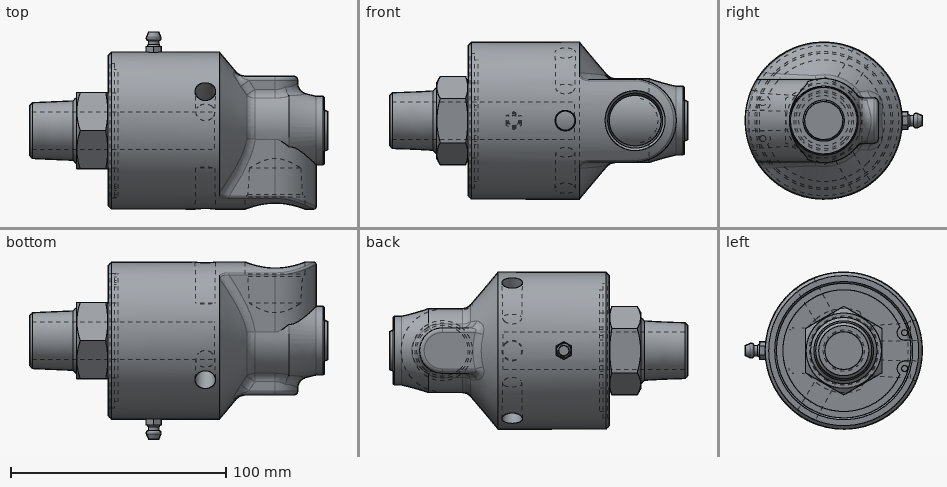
import cadquery as cq
import math

TOTAL_LENGTH = 138.6
OVERSHOOT = 1.4

BORE_DIA = 17.5
BORE_END_X = 86.0
NOSE_END_RADIUS = 13.0
NOSE_ROOT_RADIUS = 13.9
NOSE_CHAMFER = 1.4
NOSE_ROOT_X = 20.2

HEX_X = 21.8
HEX_FLATS = 35.6
HEX_CORNER_RADIUS = HEX_FLATS / math.sqrt(3)
HEX_FACE_RADIUS = 15.4
HEX_CHAMFER_RADIUS = 17.5
HEX_FRONT_CHAMFER = 1.8
HEX_BACK_CHAMFER = 1.1

BODY_X = 36.5
BODY_END_X = 88.1
BODY_RADIUS = 73.0 / 2
BODY_CHAMFER = 1.7

RECESS_RADIUS = 62.5 / 2
RECESS_DEPTH = 4.7
RECESS_CHAMFER = 0.8
RING_INNER_RADIUS = 28.3
RING_THICKNESS = 1.7
EAR_RADIUS = 3.5
EAR_Z = 8.3
EAR_HOLE_DIA = 2.8

NECK_X = 102.4
NECK_END_X = 120.5
NECK_RADIUS = 19.5
TAPER_MID_X = 125.7
TAPER_MID_RADIUS = 17.9
CAP_X = 133.0
CAP_END_X = 137.0
CAP_RADIUS = 32.0 / 2
CAP_CHAMFER = 0.5
PLUG_RADIUS = 9.5
PLUG_TIP_RADIUS = 8.9
BLEND_RADIUS = 5.0

PORT_X = 114.0
LUG_HALF_WIDTH = 19.1
LUG_EDGE_FILLET = 1.2
PORT_RIM_DIA = 27.9
PORT_RIM_Y = -30.9
PORT_MOUTH_DIA = 25.5
PORT_FLOOR_DIA = 22.9

SMALL_LUG_HALF_WIDTH = 10.5
SMALL_LUG_Y = 25.4
SMALL_LUG_FILLET = 2.1

DRAIN_X = 81.6
DRAIN_MOUTH_DIA = 9.5
DRAIN_FLOOR_DIA = 8.6
DRAIN_COUNT = 3

CORE_RADIUS = 17.5

NIPPLE_X = 57.7
NIPPLE_FLATS = 7.2
NIPPLE_FOOT_Y = 39.1
NIPPLE_HEIGHT = 82.3 - BODY_RADIUS - NIPPLE_FOOT_Y
NIPPLE_COLLAR_RADIUS = 3.0
NIPPLE_COLLAR_HEIGHT = 1.0
NIPPLE_WAIST_RADIUS = 2.5
NIPPLE_WAIST_TOP = 2.6
NIPPLE_BULGE_RADIUS = 3.5
NIPPLE_BULGE_HEIGHT = 3.6
NIPPLE_SHOULDER_RADIUS = 3.3
NIPPLE_SHOULDER_HEIGHT = 4.5
NIPPLE_TIP_RADIUS = 2.4


def revolve_x(profile):
    """Close an (x, radius) outline and revolve it about the X axis."""
    return profile.close().revolve(360, (0, 0, 0), (1, 0, 0))


def disc_x(x_start, x_end, radius):
    """Round disc about the X axis."""
    return cq.Workplane("YZ", origin=(x_start, 0, 0)).circle(radius).extrude(x_end - x_start)


def tapered_rod_y(x, y_start, y_end, start_dia, end_dia):
    """Cone frustum along +Y."""
    start = cq.Vector(x, y_start, 0)
    direction = cq.Vector(0, 1, 0)
    return cq.Workplane(cq.Solid.makeCone(start_dia / 2, end_dia / 2, y_end - y_start, start, direction))


def nose():
    """Tapered nose, chamfered hexagon and the round collar that enters the recess."""
    stem = revolve_x(
        cq.Workplane("XY")
        .lineTo(0, NOSE_END_RADIUS - NOSE_CHAMFER)
        .lineTo(NOSE_CHAMFER, NOSE_END_RADIUS)
        .lineTo(NOSE_ROOT_X, NOSE_ROOT_RADIUS)
        .lineTo(HEX_X, HEX_FACE_RADIUS)
        .lineTo(HEX_X, 0)
    )
    hexagon = (
        cq.Workplane("YZ", origin=(HEX_X, 0, 0))
        .polygon(6, 2 * HEX_CORNER_RADIUS)
        .extrude(BODY_X - HEX_X)
        .rotate((0, 0, 0), (1, 0, 0), 90)
    )
    hex_envelope = revolve_x(
        cq.Workplane("XY")
        .moveTo(HEX_X, 0)
        .lineTo(HEX_X, HEX_CHAMFER_RADIUS)
        .lineTo(HEX_X + HEX_FRONT_CHAMFER, HEX_CORNER_RADIUS)
        .lineTo(BODY_X - HEX_BACK_CHAMFER, HEX_CORNER_RADIUS)
        .lineTo(BODY_X, HEX_CHAMFER_RADIUS)
        .lineTo(BODY_X, 0)
    )
    collar = disc_x(BODY_X, BODY_X + RECESS_DEPTH, HEX_CHAMFER_RADIUS)
    return stem.union(hexagon.intersect(hex_envelope)).union(collar)


def retaining_ring():
    """Open ring on the recess floor with two drilled ears beside its gap at -Y."""
    plane = cq.Workplane("YZ", origin=(BODY_X + RECESS_DEPTH - RING_THICKNESS, 0, 0))
    ear_sites = [(-RING_INNER_RADIUS, -EAR_Z), (-RING_INNER_RADIUS, EAR_Z)]
    gap_depth = 2 * (RECESS_RADIUS - RING_INNER_RADIUS + EAR_RADIUS)
    gap_width = 2 * (EAR_Z - EAR_RADIUS)

    ring = plane.circle(RECESS_RADIUS).circle(RING_INNER_RADIUS).extrude(RING_THICKNESS)
    ears = plane.pushPoints(ear_sites).circle(EAR_RADIUS).extrude(RING_THICKNESS)
    outer_bound = plane.circle(RECESS_RADIUS).extrude(RING_THICKNESS)
    gap = plane.center(-RECESS_RADIUS, 0).rect(gap_depth, gap_width).extrude(RING_THICKNESS)
    holes = plane.pushPoints(ear_sites).circle(EAR_HOLE_DIA / 2).extrude(RING_THICKNESS)
    return ring.union(ears).intersect(outer_bound).cut(gap).cut(holes)


def barrel():
    """Cylindrical body with its chamfered recess and retaining ring."""
    body = disc_x(BODY_X, BODY_END_X, BODY_RADIUS).faces("<X").chamfer(BODY_CHAMFER)
    recess = revolve_x(
        cq.Workplane("XY")
        .moveTo(BODY_X, 0)
        .lineTo(BODY_X, RECESS_RADIUS + RECESS_CHAMFER)
        .lineTo(BODY_X + RECESS_CHAMFER, RECESS_RADIUS)
        .lineTo(BODY_X + RECESS_DEPTH, RECESS_RADIUS)
        .lineTo(BODY_X + RECESS_DEPTH, 0)
    )
    return body.cut(recess).union(retaining_ring())


def round_ended_lug(half_width, y_start, y_end):
    """Bar along X from inside the barrel, rounded about the port axis."""
    root_x = BODY_END_X - 20.8
    return (
        cq.Workplane("XZ", origin=(0, y_end, 0))
        .moveTo(root_x, -half_width)
        .lineTo(PORT_X, -half_width)
        .threePointArc((PORT_X + half_width, 0), (PORT_X, half_width))
        .lineTo(root_x, half_width)
        .close()
        .extrude(y_end - y_start)
    )


def rear_housing():
    """Cone, neck, end cap and both lugs, blended together and trimmed to the barrel radius."""
    oversize = 16.6
    slope = (BODY_RADIUS - NECK_RADIUS) / (NECK_X - BODY_END_X)
    cone_start_x = BODY_END_X - oversize / slope
    cone_start_radius = BODY_RADIUS + oversize
    turned = revolve_x(
        cq.Workplane("XY")
        .moveTo(cone_start_x, 0)
        .lineTo(cone_start_x, cone_start_radius)
        .lineTo(NECK_X, NECK_RADIUS)
        .lineTo(NECK_END_X, NECK_RADIUS)
        .threePointArc((TAPER_MID_X, TAPER_MID_RADIUS), (CAP_X, CAP_RADIUS))
        .lineTo(CAP_END_X - CAP_CHAMFER, CAP_RADIUS)
        .lineTo(CAP_END_X, CAP_RADIUS - CAP_CHAMFER)
        .lineTo(CAP_END_X, PLUG_RADIUS)
        .lineTo(TOTAL_LENGTH, PLUG_TIP_RADIUS)
        .lineTo(TOTAL_LENGTH, 0)
    )
    small_lug = round_ended_lug(SMALL_LUG_HALF_WIDTH, 0, SMALL_LUG_Y)
    small_lug = small_lug.faces(">Y").edges("not <X").fillet(SMALL_LUG_FILLET)
    port_lug = round_ended_lug(LUG_HALF_WIDTH, -cone_start_radius - LUG_HALF_WIDTH, 0)
    blank = turned.union(small_lug).union(port_lug)

    cone_foot = cq.selectors.BoxSelector(
        (cone_start_x + 1.4, -cone_start_radius, -BODY_RADIUS),
        (NECK_X + 0.1, BODY_RADIUS, BODY_RADIUS),
    )
    lug_foot = cq.selectors.BoxSelector(
        (NECK_X, NECK_RADIUS / 2, -NECK_RADIUS),
        (CAP_X - 5.5, SMALL_LUG_Y - SMALL_LUG_FILLET - 0.7, NECK_RADIUS),
    )
    foot_edges = blank.edges(lug_foot).edges("not(|Y or #X)").vals()
    blended = blank.newObject(blank.edges(cone_foot).vals() + foot_edges).fillet(BLEND_RADIUS)
    trimmed = blended.intersect(disc_x(BODY_END_X - OVERSHOOT, TOTAL_LENGTH, BODY_RADIUS))

    lug_rim = cq.selectors.BoxSelector(
        (BODY_END_X + 1.4, -BODY_RADIUS, -NECK_RADIUS),
        (CAP_X, -NECK_RADIUS - 8.3, NECK_RADIUS),
    )
    return trimmed.edges(lug_rim).fillet(LUG_EDGE_FILLET)


def grease_nipple():
    """Hexagonal foot, waist and bulged head standing on the barrel along +Y."""
    foot = (
        cq.Workplane("XZ", origin=(NIPPLE_X, NIPPLE_FOOT_Y, 0))
        .polygon(6, 2 * NIPPLE_FLATS / math.sqrt(3))
        .extrude(NIPPLE_FOOT_Y - BODY_RADIUS + OVERSHOOT)
        .rotate((NIPPLE_X, 0, 0), (NIPPLE_X, 1, 0), 90)
    )
    head = (
        cq.Workplane("XY", origin=(NIPPLE_X, NIPPLE_FOOT_Y, 0))
        .lineTo(NIPPLE_COLLAR_RADIUS, 0)
        .lineTo(NIPPLE_WAIST_RADIUS, NIPPLE_COLLAR_HEIGHT)
        .lineTo(NIPPLE_WAIST_RADIUS, NIPPLE_WAIST_TOP)
        .threePointArc(
            (NIPPLE_BULGE_RADIUS, NIPPLE_BULGE_HEIGHT),
            (NIPPLE_SHOULDER_RADIUS, NIPPLE_SHOULDER_HEIGHT),
        )
        .lineTo(NIPPLE_TIP_RADIUS, NIPPLE_HEIGHT)
        .lineTo(0, NIPPLE_HEIGHT)
        .close()
        .revolve(360, (0, 0, 0), (0, 1, 0))
    )
    return foot.union(head)


def port():
    """Port along Y: straight rim, 45 degree lead-in, then a taper ending on the core."""
    mouth_y = PORT_RIM_Y + (PORT_RIM_DIA - PORT_MOUTH_DIA) / 2
    rim = (
        cq.Workplane("XZ", origin=(PORT_X, PORT_RIM_Y, 0))
        .circle(PORT_RIM_DIA / 2)
        .extrude(BODY_RADIUS + OVERSHOOT + PORT_RIM_Y)
    )
    lead_in = tapered_rod_y(PORT_X, PORT_RIM_Y, mouth_y, PORT_RIM_DIA, PORT_MOUTH_DIA)
    taper = tapered_rod_y(PORT_X, mouth_y, -CORE_RADIUS / 2, PORT_MOUTH_DIA, PORT_FLOOR_DIA)
    core = disc_x(BODY_END_X, CAP_X, CORE_RADIUS)
    return rim.union(lead_in).union(taper).cut(core)


def drain_hole():
    """Tapered hole entering the barrel from -Y and ending on the core."""
    hole = tapered_rod_y(DRAIN_X, -BODY_RADIUS - OVERSHOOT, -CORE_RADIUS / 2, DRAIN_MOUTH_DIA, DRAIN_FLOOR_DIA)
    return hole.cut(disc_x(BODY_X, CAP_X, CORE_RADIUS))


result = rear_housing().union(barrel()).union(nose()).union(grease_nipple())
result = result.cut(disc_x(0, BORE_END_X, BORE_DIA / 2)).cut(port())
for i in range(DRAIN_COUNT):
    result = result.cut(drain_hole().rotate((0, 0, 0), (1, 0, 0), i * 360 / DRAIN_COUNT))